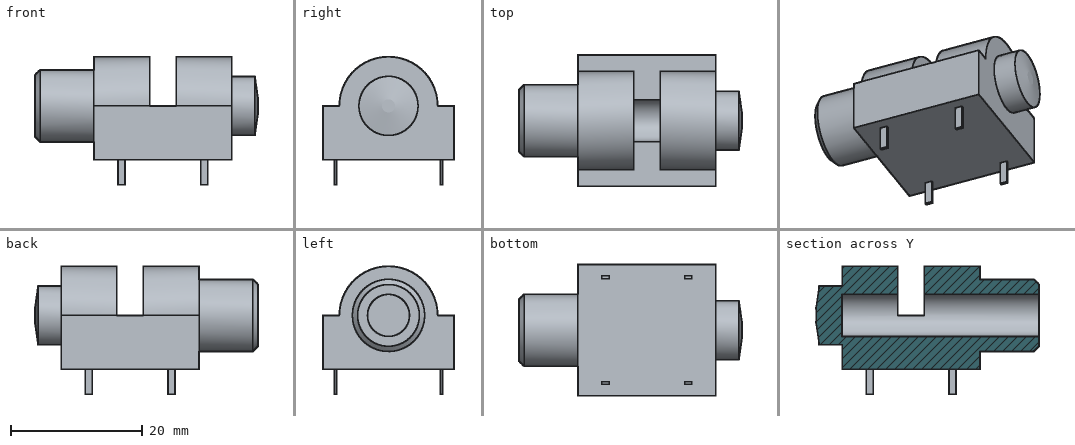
import cadquery as cq

BARREL_DIAMETER = 11.0
BARREL_LENGTH = 9.0
BARREL_CHAMFER = 0.8
BORE_DIAMETER = 6.4

BODY_LENGTH = 21.0
BODY_WIDTH = 20.0
BODY_DEPTH = 8.2
HOUSING_DIAMETER = 15.0
SLOT_WIDTH = 4.0

CAP_DIAMETER = 9.0
CAP_LENGTH = 3.5
CAP_CONE_HEIGHT = 0.5
CAP_TIP_DIAMETER = 2.0

PIN_WIDTH = 1.1
PIN_THICKNESS = 0.4
PIN_LENGTH = 3.8
PIN_PITCH = 12.6
PIN_ROW_SPACING = 16.1
FIRST_PIN_OFFSET = 4.2

body_front = BARREL_LENGTH
body_back = body_front + BODY_LENGTH
body_middle = (body_front + body_back) / 2
cap_end = body_back + CAP_LENGTH
cap_tip = cap_end + CAP_CONE_HEIGHT


def x_cylinder(diameter, start, end):
    """Cylinder on the bore axis running from X = start to X = end."""
    return cq.Workplane("YZ", origin=(start, 0, 0)).circle(diameter / 2).extrude(end - start)


def make_body():
    """Rectangular base with a round housing whose upper half is split by a cross slot."""
    base = cq.Workplane("XY", origin=(body_middle, 0, -BODY_DEPTH)).box(
        BODY_LENGTH, BODY_WIDTH, BODY_DEPTH, centered=(True, True, False)
    )
    slot = cq.Workplane("XY", origin=(body_middle, 0, 0)).box(
        SLOT_WIDTH, BODY_WIDTH, HOUSING_DIAMETER, centered=(True, True, False)
    )
    housing = x_cylinder(HOUSING_DIAMETER, body_front, body_back)
    return base.union(housing).cut(slot)


def make_barrel():
    """Front sleeve with a chamfered rim."""
    return x_cylinder(BARREL_DIAMETER, 0, body_front).faces("<X").chamfer(BARREL_CHAMFER)


def make_cap():
    """Rear cap with a shallow conical end and a small flat tip, revolved about the bore axis."""
    return (
        cq.Workplane("XY")
        .moveTo(body_back, 0)
        .lineTo(body_back, CAP_DIAMETER / 2)
        .lineTo(cap_end, CAP_DIAMETER / 2)
        .lineTo(cap_tip, CAP_TIP_DIAMETER / 2)
        .lineTo(cap_tip, 0)
        .close()
        .revolve(360, (0, 0, 0), (1, 0, 0))
    )


def make_pins():
    """Four flat contact pins hanging from the underside of the base."""
    pin_middle = body_front + FIRST_PIN_OFFSET + PIN_PITCH / 2
    return (
        cq.Workplane("XY", origin=(pin_middle, 0, -BODY_DEPTH))
        .rarray(PIN_PITCH, PIN_ROW_SPACING, 2, 2)
        .rect(PIN_WIDTH, PIN_THICKNESS)
        .extrude(-PIN_LENGTH)
    )


bore = x_cylinder(BORE_DIAMETER, 0, body_back)

result = make_body().union(make_barrel()).union(make_cap()).union(make_pins()).cut(bore)